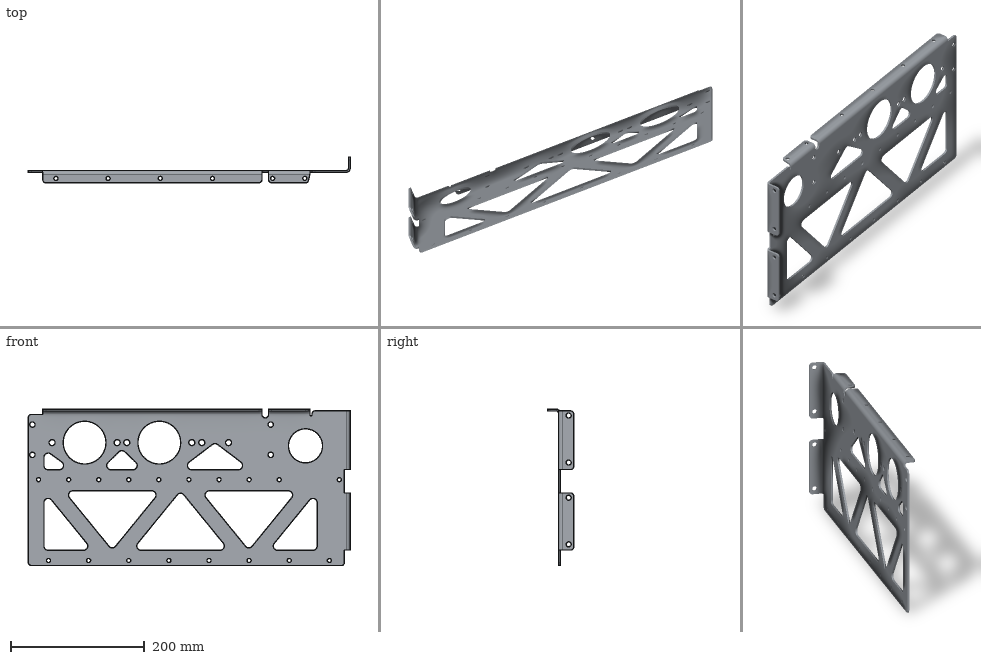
import cadquery as cq
import math


length = 481.5
height = 234.0
sheet = 3.0
inner_bend = sheet
outer_bend = inner_bend + sheet
corner_radius = 5.0

left_top = 226.5
right_top = 231.5
right_edge = 473.0

top_reach = 16.0
long_flange = (21.5, 349.5)
short_flange = (359.5, 421.5)
tip_slant = 3.0
notch_floor = 221.0
relief_end = 424.5
relief_floor = 224.5

side_reach = 23.0
side_flanges = [(23.0, 109.0), (143.5, right_top)]

window_radius = 6.5
truss_low = 23.0
truss_high = 111.8
truss_middle = 228.0
half_base = 72.3
strut_gap = 30.0
truss_pitch = half_base + strut_gap

small_low = 143.5
edge_window_width = 42.0
edge_window_rise = 31.0
narrow_window_x = 140.0
narrow_window_half = 32.0
narrow_window_rise = 31.0
wide_window_x = 279.5
wide_window_half = 53.5
wide_window_rise = 40.5

port_diameter = 63.5
port_bolt_diameter = 8.5
port_z = 184.0
port_xs = (84.5, 196.0)
port_bolt_offset = 48.5
extra_bolt_xs = (259.5, 299.5)

round_diameter = 50.5
round_x = 414.7
round_z = 179.0

mount_diameter = 7.5
mount_xs = (6.5, 362.5)
mount_zs = (165.5, 211.0)

rivet_diameter = 6.0
middle_row_z = 128.5
middle_row_start = 15.5
middle_row_end = 465.5
middle_row_steps = 10
middle_row_skipped = 9
lower_row_z = 7.5
lower_row_start = 30.5
lower_row_end = 450.5
lower_row_steps = 7

top_hole_diameter = 6.0
top_hole_y = -9.0
long_flange_first_hole = 41.5
long_flange_hole_pitch = 78.0
long_flange_holes = 4
short_flange_hole_xs = (365.5, 414.0)
side_hole_diameter = 7.0
side_hole_y = 15.5
side_hole_zs = (32.0, 101.5, 154.0, 224.5)

through = 5.0


def at_front(y):
    """Sketch plane facing -Y, so sketch coordinates are world X and Z."""
    return cq.Workplane("XZ", origin=(0, y, 0))


def bent_strip(plane, lip, width):
    """Quarter bend plus flat lip; sketch starts where the sheet enters the bend.

    The sheet enters along the second sketch axis with its outer face on zero,
    and the lip leaves along the first axis.
    """
    cos_45 = math.sqrt(0.5)
    outer_mid = outer_bend * (1 - cos_45)
    outer_rise = outer_bend * cos_45
    inner_mid = outer_bend - inner_bend * cos_45
    inner_rise = inner_bend * cos_45
    return (
        cq.Workplane(plane)
        .moveTo(0, 0)
        .threePointArc((outer_mid, outer_rise), (outer_bend, outer_bend))
        .lineTo(lip, outer_bend)
        .lineTo(lip, inner_bend)
        .lineTo(outer_bend, inner_bend)
        .threePointArc((inner_mid, inner_rise), (sheet, 0))
        .close()
        .extrude(width)
    )


def plate():
    """Flat sheet, with edges that stop where the flange bends begin."""
    bend_z = height - outer_bend
    bend_x = length - outer_bend
    outline = [(0, 0), (right_edge, 0)]
    for low, high in side_flanges:
        outline += [(right_edge, low), (bend_x, low), (bend_x, high), (right_edge, high)]
    outline.pop()
    outline += [
        (relief_end, right_top),
        (relief_end, relief_floor),
        (short_flange[1], relief_floor),
        (short_flange[1], bend_z),
        (long_flange[0], bend_z),
        (long_flange[0], left_top),
        (0, left_top),
    ]
    body = at_front(0).polyline(outline).close().extrude(-sheet)
    rounded = [(0, 0), (right_edge, 0), (relief_end, right_top), (0, left_top)]
    for x, z in rounded:
        body = body.edges(cq.NearestToPointSelector((x, sheet / 2, z))).fillet(corner_radius)
    return body


def top_flange(span, slant=0.0):
    """Forward flange along X with rounded free corners and an optional slanted right end."""
    start, end = span
    bend_z = height - outer_bend
    bend_plane = cq.Plane(origin=(end, sheet, bend_z), xDir=(0, -1, 0), normal=(-1, 0, 0))
    strip = bent_strip(bend_plane, top_reach + sheet, end - start)
    straight_y = sheet - outer_bend
    blank = (
        cq.Workplane("XY", origin=(0, 0, bend_z))
        .polyline([
            (start, sheet),
            (start, -top_reach),
            (end - slant, -top_reach),
            (end, straight_y),
            (end, sheet),
        ])
        .close()
        .extrude(outer_bend)
    )
    blank = blank.edges("|Z and <Y").fillet(corner_radius)
    return strip.intersect(blank)


def side_flange(span):
    """Backward flange along Z with rounded free corners."""
    low, high = span
    bend_x = length - outer_bend
    bend_plane = cq.Plane(origin=(bend_x, 0, high), xDir=(0, 1, 0), normal=(0, 0, -1))
    strip = bent_strip(bend_plane, side_reach, high - low)
    return strip.edges("|X and >Y").fillet(corner_radius)


def window(points):
    """Cutter for a window with rounded corners."""
    cutter = at_front(-through).polyline(points).close().extrude(-sheet - 2 * through)
    return cutter.edges("|Y").fillet(window_radius)


def triangle(x, half_width, base_z, tip_z):
    """Symmetric triangle with its tip above or below the base."""
    return [(x - half_width, base_z), (x + half_width, base_z), (x, tip_z)]


def plate_holes(diameter, points):
    """Cutter for equal holes through the plate, placed by X and Z."""
    cutter = at_front(-through).pushPoints(points).circle(diameter / 2)
    return cutter.extrude(-sheet - 2 * through)


def spaced(start, end, steps):
    """Evenly spaced positions from start to end, both included."""
    return [start + (end - start) * i / steps for i in range(steps + 1)]


body = plate()
body = body.union(top_flange(long_flange))
body = body.union(top_flange(short_flange, tip_slant))
for span in side_flanges:
    body = body.union(side_flange(span))

notch_width = short_flange[0] - long_flange[1]
notch_x = (short_flange[0] + long_flange[1]) / 2
notch_radius = notch_width / 2
notch_center_z = notch_floor + notch_radius
notch = (
    at_front(-top_reach - through)
    .moveTo(long_flange[1], height + through)
    .lineTo(long_flange[1], notch_center_z)
    .threePointArc((notch_x, notch_floor), (short_flange[0], notch_center_z))
    .lineTo(short_flange[0], height + through)
    .close()
    .extrude(-top_reach - sheet - 2 * through)
)
body = body.cut(notch)

body = body.cut(window(triangle(truss_middle, half_base, truss_low, truss_high)))
for side in (-1, 1):
    tip_down_x = truss_middle + side * truss_pitch
    end_x = truss_middle + 2 * side * truss_pitch
    body = body.cut(window(triangle(tip_down_x, half_base, truss_high, truss_low)))
    end_window = [(end_x, truss_low), (end_x, truss_high), (end_x - side * half_base, truss_low)]
    body = body.cut(window(end_window))

edge_x = truss_middle - 2 * truss_pitch
small_windows = [
    [
        (edge_x, small_low),
        (edge_x + edge_window_width, small_low),
        (edge_x, small_low + edge_window_rise),
    ],
    triangle(narrow_window_x, narrow_window_half, small_low, small_low + narrow_window_rise),
    triangle(wide_window_x, wide_window_half, small_low, small_low + wide_window_rise),
]
for points in small_windows:
    body = body.cut(window(points))

bolt_xs = [x + side * port_bolt_offset for x in port_xs for side in (-1, 1)]
bolt_xs += extra_bolt_xs
middle_row_xs = spaced(middle_row_start, middle_row_end, middle_row_steps)
middle_row_xs.pop(middle_row_skipped)
lower_row_xs = spaced(lower_row_start, lower_row_end, lower_row_steps)

body = body.cut(plate_holes(port_diameter, [(x, port_z) for x in port_xs]))
body = body.cut(plate_holes(port_bolt_diameter, [(x, port_z) for x in bolt_xs]))
body = body.cut(plate_holes(round_diameter, [(round_x, round_z)]))
body = body.cut(plate_holes(mount_diameter, [(x, z) for x in mount_xs for z in mount_zs]))
body = body.cut(plate_holes(rivet_diameter, [(x, middle_row_z) for x in middle_row_xs]))
body = body.cut(plate_holes(rivet_diameter, [(x, lower_row_z) for x in lower_row_xs]))

top_hole_xs = [long_flange_first_hole + i * long_flange_hole_pitch for i in range(long_flange_holes)]
top_hole_xs += short_flange_hole_xs
top_holes = (
    cq.Workplane("XY", origin=(0, 0, height - sheet - through))
    .pushPoints([(x, top_hole_y) for x in top_hole_xs])
    .circle(top_hole_diameter / 2)
    .extrude(sheet + 2 * through)
)
side_holes = (
    cq.Workplane("YZ", origin=(length - sheet - through, 0, 0))
    .pushPoints([(side_hole_y, z) for z in side_hole_zs])
    .circle(side_hole_diameter / 2)
    .extrude(sheet + 2 * through)
)
result = body.cut(top_holes).cut(side_holes)